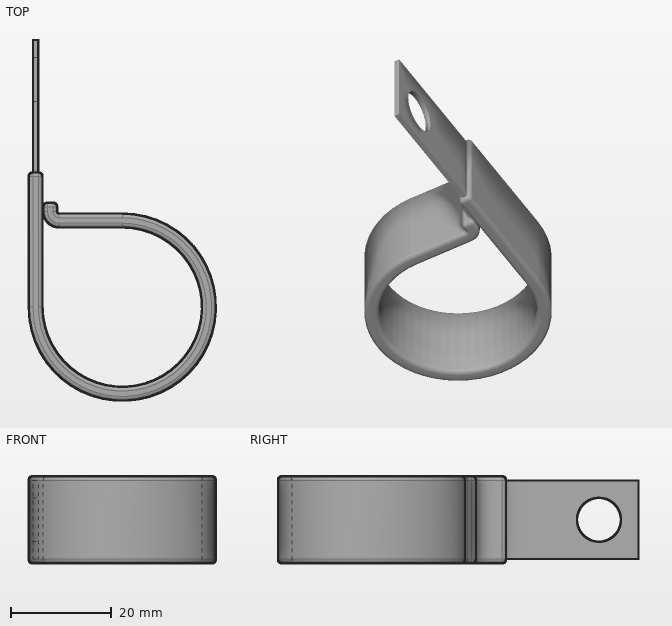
import cadquery as cq
import math


total_length = 71.8
loop_outer_diameter = 37.3
sleeve_width = 17.4

sleeve_thickness = 2.8
edge_radius = 0.85

flat_length = 12.6
bend_inner_radius = 0.35
hook_length = 1.8

tab_length = 26.35
hole_diameter = 8.7
hole_end_distance = 7.9

loop_outer_radius = loop_outer_diameter / 2
loop_inner_radius = loop_outer_radius - sleeve_thickness
tab_thickness = sleeve_thickness - 2 * edge_radius
tab_width = sleeve_width - 2 * edge_radius
tab_end_y = total_length - loop_outer_radius
sleeve_end_y = tab_end_y - tab_length
sleeve_mid_x = -(loop_inner_radius + sleeve_thickness / 2)

bend_outer_radius = bend_inner_radius + sleeve_thickness
bend_center_x = -flat_length
bend_center_y = loop_outer_radius + bend_inner_radius
hook_inner_x = bend_center_x - bend_inner_radius
hook_outer_x = bend_center_x - bend_outer_radius
hook_end_y = bend_center_y + hook_length


def arc_point(center_x, center_y, radius, degrees):
    """Point at the given angle on a circle."""
    angle = math.radians(degrees)
    return (center_x + radius * math.cos(angle), center_y + radius * math.sin(angle))


def make_sleeve():
    """Straight leg, three-quarter loop, flat and hook, with all edges rounded."""
    sleeve = (
        cq.Workplane("XY", origin=(0, 0, -sleeve_width / 2))
        .moveTo(-loop_outer_radius, sleeve_end_y)
        .lineTo(-loop_outer_radius, 0)
        .threePointArc(arc_point(0, 0, loop_outer_radius, -45), (0, loop_outer_radius))
        .lineTo(bend_center_x, loop_outer_radius)
        .threePointArc(
            arc_point(bend_center_x, bend_center_y, bend_inner_radius, 225),
            (hook_inner_x, bend_center_y),
        )
        .lineTo(hook_inner_x, hook_end_y)
        .lineTo(hook_outer_x, hook_end_y)
        .lineTo(hook_outer_x, bend_center_y)
        .threePointArc(
            arc_point(bend_center_x, bend_center_y, bend_outer_radius, 225),
            (bend_center_x, loop_inner_radius),
        )
        .lineTo(0, loop_inner_radius)
        .threePointArc(arc_point(0, 0, loop_inner_radius, -45), (-loop_inner_radius, 0))
        .lineTo(-loop_inner_radius, sleeve_end_y)
        .close()
        .extrude(sleeve_width)
    )
    end_planes = (sleeve_end_y, hook_end_y)
    corner_edges = [
        edge
        for edge in sleeve.edges("|Z").vals()
        if any(math.isclose(edge.Center().y, y, abs_tol=7.18e-07) for y in end_planes)
    ]
    rim_edges = sleeve.faces("<Z or >Z").edges().vals()
    return sleeve.newObject(corner_edges + rim_edges).fillet(edge_radius)


def make_tab():
    """Flat strip with a mounting hole, rooted inside the straight leg."""
    tab = cq.Workplane("XY").box(
        tab_thickness, tab_end_y, tab_width, centered=(True, False, True)
    ).translate((sleeve_mid_x, 0, 0))
    hole = (
        cq.Workplane("YZ", origin=(sleeve_mid_x, 0, 0))
        .center(tab_end_y - hole_end_distance, 0)
        .circle(hole_diameter / 2)
        .extrude(tab_thickness, both=True)
    )
    return tab.cut(hole)


result = make_sleeve().union(make_tab())